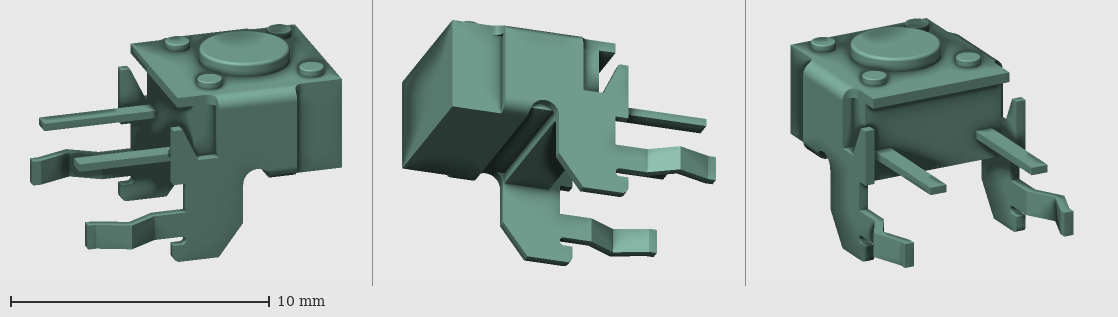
import cadquery as cq
import math


overall_width = 8.41
overall_length = 10.52
overall_height = 7.15

body_side = 6
body_half = body_side / 2
sheet = 0.4
cover_top = 3.69
cover_bottom = cover_top - sheet
cover_front = -3.67

button_radius = 1.76
button_top = 4.25
button_round = 0.13
rivet_radius = 0.48
rivet_top = 3.99
rivet_round = 0.05
rivet_pitch = 4.13

pin_width = 0.7
pin_spacing = 4.46
pin_top = 1.24
pin_thickness = 0.3
front_tip = body_half - overall_length

wall_outer = 3.53
wall_inner = wall_outer - sheet
bend_radius = 0.49
strap_back = 1.01
strap_front = -2.17
relief_radius = sheet

notch_radius = 0.58
notch_y = -0.6
channel_depth = 0.43

leg_back = notch_y - notch_radius
leg_front = -3.49
stop_front = -4.01
shoulder_z = pin_top
horn_top = 2.57
horn_back = -3.64
stop_bottom = 0.32
leg_bottom = button_top - overall_height
leg_bevel_z = -1.59
foot_round = 0.25
slot_radius = 0.17

arm_top = -0.88
arm_bottom = -1.87
arm_peak_x = overall_width / 2
arm_peak_y = -5.9
arm_bend_y = -4.79
arm_tip_x = 3.71
arm_tip_bend_y = -7.21


def slab(x_min, x_max, y_min, y_max, z_min, z_max):
    """Axis-aligned block between the given limits."""
    size = (x_max - x_min, y_max - y_min, z_max - z_min)
    return cq.Workplane("XY").box(*size, centered=False).translate((x_min, y_min, z_min))


def make_housing():
    """Square block with a cross channel in its underside, in line with the side notches."""
    block = slab(-body_half, body_half, -body_half, body_half, 0, cover_top)
    channel = slab(
        -body_half, body_half, notch_y - notch_radius, notch_y + notch_radius, 0, channel_depth
    )
    return block.cut(channel)


def make_cover_plate():
    return slab(-body_half, body_half, cover_front, body_half, cover_bottom, cover_top)


def make_disc(radius, top, edge_round, x=0, y=0):
    """Round head standing on the cover with a rounded top edge."""
    disc = cq.Workplane("XY", origin=(x, y, cover_top)).circle(radius).extrude(top - cover_top)
    return disc.faces(">Z").edges().fillet(edge_round)


def make_pin(x):
    return slab(
        x - pin_width / 2, x + pin_width / 2, front_tip, -body_half, pin_top - pin_thickness, pin_top
    )


def bent_block(y_min, y_max, has_lip):
    """Solid block beside the housing with the outer bend radius on its folded edges."""
    block = slab(body_half, wall_outer, y_min, y_max, 0, cover_top)
    block = block.edges("|Y and >X and >Z").fillet(bend_radius)
    if has_lip:
        block = block.edges("|Y and >X and <Z").fillet(bend_radius)
    return block


def make_strap(y_min, y_max, has_lip):
    """Sheet folded down from the cover, optionally folded in again under the housing."""
    gap_bottom = sheet if has_lip else 0
    gap = slab(body_half, wall_inner, y_min, y_max, gap_bottom, cover_bottom)
    return bent_block(y_min, y_max, has_lip).cut(gap)


def make_relief(strap_end, direction):
    """Concave corner web between the cover edge and one end of the strap."""
    far_end = strap_end + direction * relief_radius
    corner_x = body_half + relief_radius
    arc_offset = relief_radius * (1 - math.sqrt(0.5))
    web = (
        cq.Workplane("XY", origin=(0, 0, cover_bottom))
        .moveTo(body_half, strap_end)
        .lineTo(corner_x, strap_end)
        .threePointArc((body_half + arc_offset, strap_end + direction * arc_offset), (body_half, far_end))
        .close()
        .extrude(sheet)
    )
    envelope = bent_block(min(strap_end, far_end), max(strap_end, far_end), False)
    return web.intersect(envelope)


def make_leg():
    """Flat leg with an upward horn, a stop edge and a slotted foot."""
    slot_top = arm_bottom
    slot_bottom = slot_top - 2 * slot_radius
    slot_center_y = leg_front - slot_radius
    leg = (
        cq.Workplane("YZ", origin=(wall_inner, 0, 0))
        .moveTo(leg_back, shoulder_z)
        .lineTo(-body_half, shoulder_z)
        .lineTo(horn_back, horn_top)
        .lineTo(stop_front, horn_top)
        .lineTo(stop_front, stop_bottom)
        .lineTo(leg_front, stop_bottom)
        .lineTo(leg_front, arm_top)
        .lineTo(slot_center_y, arm_top)
        .lineTo(slot_center_y, slot_top)
        .threePointArc((leg_front, slot_top - slot_radius), (slot_center_y, slot_bottom))
        .lineTo(stop_front, slot_bottom)
        .lineTo(stop_front, leg_bottom)
        .lineTo(strap_front, leg_bottom)
        .lineTo(leg_back, leg_bevel_z)
        .close()
        .extrude(sheet)
    )
    return leg.edges("|X and <Y and <Z").fillet(foot_round)


def make_arm():
    """Spring arm: a strip of constant X width following the bent outline."""
    outer_edge = [
        (wall_outer, leg_front),
        (wall_outer, arm_bend_y),
        (arm_peak_x, arm_peak_y),
        (arm_tip_x, arm_tip_bend_y),
        (arm_tip_x, front_tip),
    ]
    inner_edge = [(x - sheet, y) for x, y in reversed(outer_edge)]
    return (
        cq.Workplane("XY", origin=(0, 0, arm_bottom))
        .polyline(outer_edge + inner_edge)
        .close()
        .extrude(arm_top - arm_bottom)
    )


def make_side():
    """Complete folded wall on the +X side; the lip ends square where the notch begins."""
    notch = (
        cq.Workplane("YZ", origin=(wall_inner, 0, 0))
        .center(notch_y, 0)
        .circle(notch_radius)
        .extrude(sheet)
    )
    lip_end = notch_y + notch_radius
    lip_trim = slab(body_half, wall_inner, notch_y, lip_end, 0, sheet)
    return (
        make_strap(notch_y, strap_back, True)
        .union(make_strap(strap_front, notch_y, False))
        .cut(notch)
        .cut(lip_trim)
        .union(make_leg())
        .union(make_arm())
        .union(make_relief(strap_back, 1))
        .union(make_relief(strap_front, -1))
    )


result = make_housing().union(make_cover_plate())
result = result.union(make_disc(button_radius, button_top, button_round))

for x_sign in (-1, 1):
    result = result.union(make_pin(x_sign * pin_spacing / 2))
    for y_sign in (-1, 1):
        rivet_x = x_sign * rivet_pitch / 2
        rivet_y = y_sign * rivet_pitch / 2
        result = result.union(make_disc(rivet_radius, rivet_top, rivet_round, rivet_x, rivet_y))

side = make_side()
result = result.union(side).union(side.mirror("YZ"))